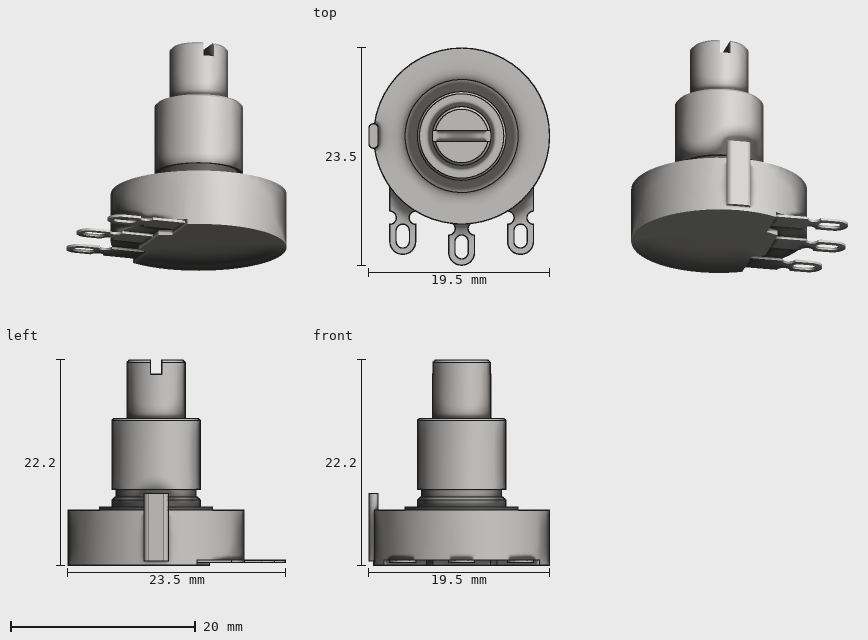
import cadquery as cq

body_radius = 9.52
body_top = 6.0
base_height = 0.56
base_side_y = -4.45
base_middle_y = -5.78
base_middle_half_width = 3.1
base_step_half_width = 3.8
trim_clearance = 0.24

flange_radius = 6.1
flange_top = 6.32
bushing_radius = 4.8
groove_radius = 4.32
groove_bottom = 7.38
groove_top = 8.22
bushing_top = 15.9
bushing_chamfer = 0.24
groove_chamfer = 0.33

shaft_radius = 3.17
shaft_top = 22.23
shaft_chamfer = 0.28
driver_slot_width = 1.18
driver_slot_depth = 1.55

tab_outer_x = -10.03
tab_thickness = 1.0
tab_width = 2.65
tab_bottom = 0.47
tab_top = 7.8

lug_width = 2.82
lug_thickness = 0.25
lug_spacing = 6.37
lug_inner_y = -3.52
side_lug_tip_y = -12.8
middle_lug_tip_y = -13.98
eye_width = 1.4
eye_length = 2.55
lug_rim = (lug_width - eye_width) / 2
notch_radius = 0.7


def cylinder(radius, bottom, top):
    return cq.Workplane("XY").workplane(offset=bottom).circle(radius).extrude(top - bottom)


def make_housing():
    """Disc cut back along -Y at its base, leaving a projecting middle step with sloped sides."""
    trim = (
        cq.Workplane("XY")
        .moveTo(-body_radius, base_side_y)
        .lineTo(-base_step_half_width, base_side_y)
        .lineTo(-base_middle_half_width, base_middle_y)
        .lineTo(base_middle_half_width, base_middle_y)
        .lineTo(base_step_half_width, base_side_y)
        .lineTo(body_radius, base_side_y)
        .lineTo(body_radius, -body_radius - trim_clearance)
        .lineTo(-body_radius, -body_radius - trim_clearance)
        .close()
        .extrude(base_height)
    )
    return cylinder(body_radius, 0, body_top).cut(trim)


def make_bushing():
    collar = cylinder(bushing_radius, flange_top, groove_bottom).faces(">Z").chamfer(groove_chamfer)
    neck = cylinder(groove_radius, flange_top, groove_top)
    barrel = cylinder(bushing_radius, groove_top, bushing_top).faces(">Z").chamfer(bushing_chamfer)
    return collar.union(neck).union(barrel)


def make_shaft():
    shaft = cylinder(shaft_radius, bushing_top, shaft_top).faces(">Z").chamfer(shaft_chamfer)
    slot = (
        cq.Workplane("XY")
        .workplane(offset=shaft_top - driver_slot_depth)
        .rect(2 * shaft_radius, driver_slot_width)
        .extrude(driver_slot_depth)
    )
    return shaft.cut(slot)


def make_tab():
    return (
        cq.Workplane("XY")
        .workplane(offset=tab_bottom)
        .center(tab_outer_x + tab_thickness / 2, 0)
        .slot2D(tab_width, tab_thickness, 90)
        .extrude(tab_top - tab_bottom)
    )


def make_lug(center_x, tip_y):
    """Flat lug with a round tip, an oblong eye and a notch on each edge."""
    half_width = lug_width / 2
    tip_center_y = tip_y + half_width
    eye_top_y = tip_y + lug_rim + eye_length
    plane = cq.Workplane("XY").workplane(offset=base_height - lug_thickness)
    lug = (
        plane.moveTo(center_x - half_width, lug_inner_y)
        .lineTo(center_x - half_width, tip_center_y)
        .threePointArc((center_x, tip_y), (center_x + half_width, tip_center_y))
        .lineTo(center_x + half_width, lug_inner_y)
        .close()
        .extrude(lug_thickness)
    )
    eye = (
        plane.center(center_x, eye_top_y - eye_length / 2)
        .slot2D(eye_length, eye_width, 90)
        .extrude(lug_thickness)
    )
    notches = (
        plane.pushPoints([(center_x + side * half_width, eye_top_y + notch_radius) for side in (-1, 1)])
        .circle(notch_radius)
        .extrude(lug_thickness)
    )
    return lug.cut(eye).cut(notches)


result = make_housing()
result = result.union(cylinder(flange_radius, body_top, flange_top))
result = result.union(make_bushing())
result = result.union(make_shaft())
result = result.union(make_tab())
for lug_x, lug_tip_y in (
    (-lug_spacing, side_lug_tip_y),
    (0, middle_lug_tip_y),
    (lug_spacing, side_lug_tip_y),
):
    result = result.union(make_lug(lug_x, lug_tip_y))